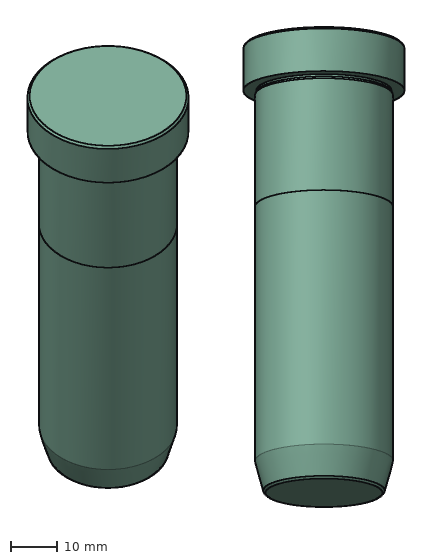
import cadquery as cq

total_length = 100.0
shank_radius = 15.0

head_radius = 17.5
head_height = 10.0
head_chamfer = 0.5
neck_height = 0.5
neck_chamfer_height = 0.5
neck_depth = 0.3
joint_height = 64.0

nose_height = 7.2
nose_end_radius = 13.2
nose_bulge = 0.1
end_chamfer = 0.5


def make_headed_section():
    """Head and upper shank, with a narrow chamfered neck under the head."""
    head_bottom = total_length - head_height
    neck_bottom = head_bottom - neck_height
    return (
        cq.Workplane("XZ")
        .moveTo(0, joint_height)
        .lineTo(shank_radius, joint_height)
        .lineTo(shank_radius, neck_bottom - neck_chamfer_height)
        .lineTo(shank_radius - neck_depth, neck_bottom)
        .lineTo(shank_radius - neck_depth, head_bottom)
        .lineTo(head_radius, head_bottom)
        .lineTo(head_radius, total_length - head_chamfer)
        .lineTo(head_radius - head_chamfer, total_length)
        .lineTo(0, total_length)
        .close()
        .revolve(360, (0, 0), (0, 1))
    )


def make_guide_section():
    """Lower shank with a curved nose and a chamfered end."""
    nose_middle = (
        (shank_radius + nose_end_radius) / 2 + nose_bulge,
        (nose_height + end_chamfer) / 2,
    )
    return (
        cq.Workplane("XZ")
        .lineTo(nose_end_radius - end_chamfer, 0)
        .lineTo(nose_end_radius, end_chamfer)
        .threePointArc(nose_middle, (shank_radius, nose_height))
        .lineTo(shank_radius, joint_height)
        .lineTo(0, joint_height)
        .close()
        .revolve(360, (0, 0), (0, 1))
    )


headed_section = make_headed_section()
guide_section = make_guide_section()

result = cq.Compound.makeCompound([headed_section.val(), guide_section.val()])